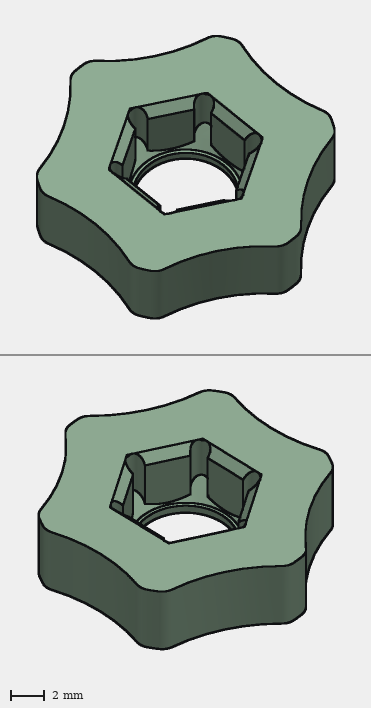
import cadquery as cq
import math

body_diameter = 18.0
height = 4.6
lobe_count = 6
scallop_radius = 11.21
waist_radius = 7.5
lobe_fillet = 1.03

bore_diameter = 6.3
ledge_diameter = 6.8
socket_flats = 6.98
mouth_flats = 8.15
corner_relief_radius = 0.6
ledge_height = 0.58

lead_in_depth = (mouth_flats - socket_flats) / 2
flats_to_corners = 1 / math.cos(math.pi / 6)
socket_corners = socket_flats * flats_to_corners
mouth_corners = mouth_flats * flats_to_corners
ledge_radius = ledge_diameter / 2
cone_height = height - ledge_height


def make_body():
    """Round disc with six concave scallops between rounded lobes."""
    disc = cq.Workplane("XY").circle(body_diameter / 2).extrude(height)
    scallops = (
        cq.Workplane("XY")
        .polarArray(waist_radius + scallop_radius, 90, 360, lobe_count)
        .circle(scallop_radius)
        .extrude(height)
    )
    return disc.cut(scallops).edges("|Z").fillet(lobe_fillet)


def make_socket():
    """Hexagon with round corner reliefs, bounded below by a conical floor."""
    hexagon = (
        cq.Workplane("XY")
        .workplane(offset=ledge_height)
        .polygon(6, socket_corners)
        .extrude(cone_height)
    )
    reliefs = (
        cq.Workplane("XY")
        .workplane(offset=ledge_height)
        .polarArray(socket_corners / 2, 0, 360, 6)
        .circle(corner_relief_radius)
        .extrude(cone_height)
    )
    floor_cone = (
        cq.Workplane("XY")
        .workplane(offset=ledge_height)
        .circle(ledge_radius)
        .workplane(offset=cone_height)
        .circle(ledge_radius + cone_height)
        .loft(ruled=True)
    )
    return hexagon.union(reliefs).intersect(floor_cone)


def make_lead_in():
    """Tapered hexagon that widens the socket towards the top face."""
    return (
        cq.Workplane("XY")
        .workplane(offset=height - lead_in_depth)
        .polygon(6, socket_corners)
        .workplane(offset=lead_in_depth)
        .polygon(6, mouth_corners)
        .loft(ruled=True)
    )


def make_bore():
    """Round hole through the full height."""
    return cq.Workplane("XY").circle(bore_diameter / 2).extrude(height)


result = make_body().cut(make_socket()).cut(make_lead_in()).cut(make_bore())